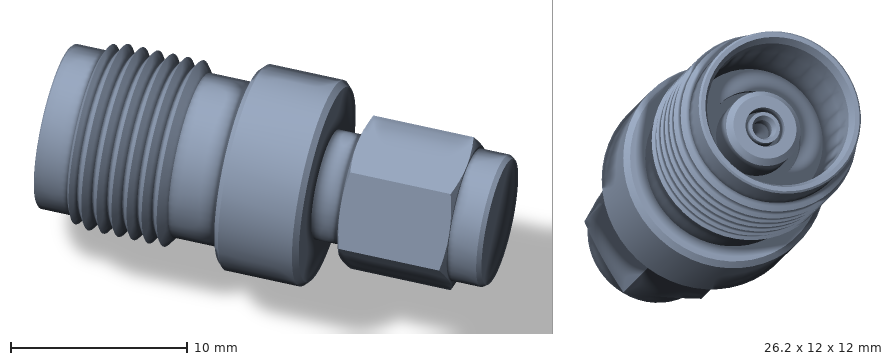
import cadquery as cq
import math

total_length = 26.2

barrel_radius = 4.8
barrel_edge_chamfer = 0.1
crest_radius = 5.42
lead_crest_radius = 5.25
lead_crest_x = 2.23
first_full_crest_x = 3.05
thread_pitch = 0.9
full_crest_count = 6
thread_end_x = 8.0
flank_width = thread_pitch / 2
lead_flank_width = 0.24

flange_start_x = 10.98
flange_end_x = 15.98
flange_radius = 6.0
flange_chamfer = 0.31
neck_radius = 3.2

hex_start_x = 17.76
hex_end_x = 24.24
hex_across_flats = 8.0
hex_corner_radius = hex_across_flats / math.sqrt(3)
hex_chamfer_length = 0.25
hex_face_radius = hex_across_flats / 2

sleeve_radius = 3.85
sleeve_chamfer_length = 0.25
sleeve_end_radius = 3.67

mouth_radius = 4.43
mouth_chamfer_length = 0.5
bore_start_radius = 4.2
bore_floor_radius = 4.03
bore_depth = 5.25
floor_groove_radius = 2.72
floor_groove_depth = 0.25

boss_face_x = 3.12
boss_radius = 2.2
boss_face_radius = 1.85
boss_chamfer = boss_radius - boss_face_radius

contact_hole_radius = 1.15
contact_hole_depth = 1.05
contact_radius = 0.92
contact_recess = 0.1
contact_mouth_radius = 0.7
contact_bore_radius = 0.55
contact_chamfer_length = 0.4
contact_bore_depth = 1.05
contact_cone_length = 0.52


def revolve_profile(outline):
    """Revolve a closed (x, radius) outline about the X axis."""
    return cq.Workplane("XY").polyline(outline).close().revolve(360, (0, 0, 0), (1, 0, 0))


def turned_body():
    outline = [
        (0, 0),
        (0, barrel_radius - barrel_edge_chamfer),
        (barrel_edge_chamfer, barrel_radius),
        (lead_crest_x - lead_flank_width, barrel_radius),
        (lead_crest_x, lead_crest_radius),
    ]
    for index in range(full_crest_count):
        crest_x = first_full_crest_x + index * thread_pitch
        outline.append((crest_x - flank_width, barrel_radius))
        outline.append((crest_x, crest_radius))
    outline += [
        (thread_end_x, barrel_radius),
        (flange_start_x, barrel_radius),
        (flange_start_x, flange_radius - flange_chamfer),
        (flange_start_x + flange_chamfer, flange_radius),
        (flange_end_x - flange_chamfer, flange_radius),
        (flange_end_x, flange_radius - flange_chamfer),
        (flange_end_x, neck_radius),
        (hex_end_x, neck_radius),
        (hex_end_x, sleeve_radius),
        (total_length - sleeve_chamfer_length, sleeve_radius),
        (total_length, sleeve_end_radius),
        (total_length, 0),
    ]
    return revolve_profile(outline)


def hex_nut():
    prism = (
        cq.Workplane("YZ", origin=(hex_start_x, 0, 0))
        .polygon(6, 2 * hex_corner_radius)
        .extrude(hex_end_x - hex_start_x)
    )
    corner_turning = revolve_profile([
        (hex_start_x, 0),
        (hex_start_x, hex_face_radius),
        (hex_start_x + hex_chamfer_length, hex_corner_radius),
        (hex_end_x - hex_chamfer_length, hex_corner_radius),
        (hex_end_x, hex_face_radius),
        (hex_end_x, 0),
    ])
    return prism.intersect(corner_turning)


def socket_cavity():
    """Space between the barrel wall and the insulator boss, with a groove around the boss foot."""
    return revolve_profile([
        (0, 0),
        (0, mouth_radius),
        (mouth_chamfer_length, bore_start_radius),
        (bore_depth, bore_floor_radius),
        (bore_depth, floor_groove_radius),
        (bore_depth + floor_groove_depth, floor_groove_radius),
        (bore_depth + floor_groove_depth, boss_radius),
        (boss_face_x + boss_chamfer, boss_radius),
        (boss_face_x, boss_face_radius),
        (boss_face_x, 0),
    ])


def contact_cavity():
    """Ring-shaped gap around the contact together with the contact's own bore."""
    contact_face_x = boss_face_x + contact_recess
    bore_end_x = contact_face_x + contact_bore_depth
    hole_floor_x = boss_face_x + contact_hole_depth
    return revolve_profile([
        (boss_face_x, 0),
        (boss_face_x, contact_hole_radius),
        (hole_floor_x, contact_hole_radius),
        (hole_floor_x, contact_radius),
        (contact_face_x, contact_radius),
        (contact_face_x, contact_mouth_radius),
        (contact_face_x + contact_chamfer_length, contact_bore_radius),
        (bore_end_x, contact_bore_radius),
        (bore_end_x + contact_cone_length, 0),
    ])


result = turned_body().union(hex_nut()).cut(socket_cavity()).cut(contact_cavity())